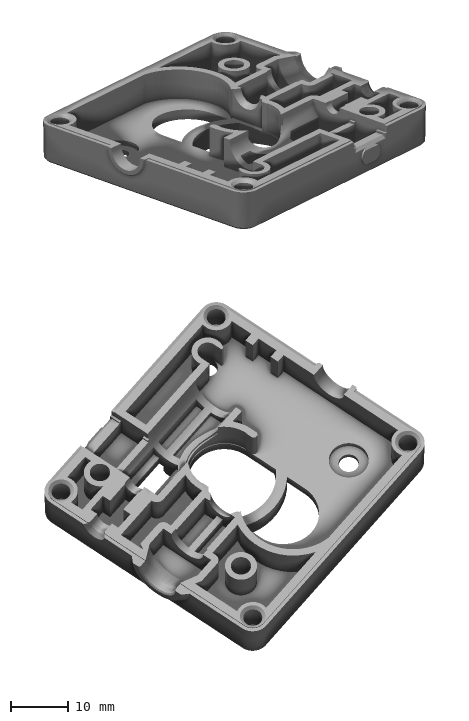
import cadquery as cq
import math

OVERALL_X = 48.3
OVERALL_Y = 52.0
BODY_X = 48.0
BODY_Y = 50.55
BODY_DEPTH = 7.5
CORNER_R = 3.0
DRAFT_ANGLE = 1.0
BOTTOM_CHAMFER = 0.4
SIDE_WALL = 2.15
FLOOR_THICKNESS = 1.85
RIB = 1.3
LIP_WIDTH = 0.6
LIP_DROP = 0.2

FLOOR_Z = FLOOR_THICKNESS - BODY_DEPTH
INNER_X = BODY_X / 2 - SIDE_WALL
INNER_Y = BODY_Y / 2 - SIDE_WALL

MOTOR_X, MOTOR_Y = 2.4, -0.2
PILOT_R = 11.0
PILOT_BORE_R = 9.05
PILOT_HEIGHT = 2.05
PILOT_CHAMFER = 0.5
SLOT_R = 6.3
SLOT_CLEARANCE = 0.1
SLOT_TRAVEL = 12.9
IDLER_X = -12.75
CHAMBER_R = 9.3
CURL_X = 0.6
CURL_R = 0.55
LEAD_IN = 0.75
SHROUD_WALL = 2.1
SHROUD_CORNER_R = 1.8

MOUNT_PITCH = 31.0
MOUNT_HOLE_R = 1.75
MOUNT_BOSS_R = 2.8
MOUNT_BOSS_TOP = -0.25
MOUNT_RECESS_R = 3.5
MOUNT_RECESS_DEPTH = 1.0

SCREW_X, SCREW_Y = 21.05, 22.3
SCREW_BOSS_R = 2.9
SCREW_HOLE_R = 1.65
SCREW_SINK_R = 2.25
SCREW_SINK_DEPTH = 0.45

PASSAGE_X = -3.05
INLET_COLLAR_LENGTH = 1.05
INLET_END = BODY_Y / 2 + INLET_COLLAR_LENGTH
INLET_TIP_R = 5.3
INLET_MOUTH_R = 4.1
INLET_BORE_R = 3.85
INLET_BORE_START = 24.5
INLET_CONE_R = 5.2
NUT_BOX = (17.65, 21.7, 5.25)
NECK_R = 3.5
TUBE_BOX = (8.2, 16.4, 3.3)
TUBE_RIB = 1.25
PASSAGE_FACE = 6.9
OUTLET_R = 2.35
OUTLET_FLARE_R = 2.95
OUTLET_WAIST_Y = 7.9
SPLAY_X, SPLAY_Y = 0.6, 1.15

OUTLET_COLLAR_R = 4.3
OUTLET_COLLAR_END = INLET_END - OVERALL_Y
OUTLET_COLLAR_CHAMFER = 0.25
OUTLET_BORE_R = 3.3

TROUGH_X = 11.55
TROUGH_R = 4.45
TROUGH_START, TROUGH_END = -9.7, 12.9
TROUGH_BLOCK_LEFT = 5.8
TROUGH_END_WALL = 1.45
TROUGH_WALL_END = TROUGH_END + TROUGH_END_WALL
TROUGH_CORNER_R = 1.45
SADDLE_R = 6.75
SADDLE_DROP = 0.45
POCKET_CLEAR_R = 8.1
TROUGH_POCKET_Y = (-8.25, 2.65)
TROUGH_POCKET_HALF = 3.15
TROUGH_RIB_X = (11.55, 12.9)
WINDOW_BAY_START = 4.0
WINDOW_X = (9.75, 13.45)

BAY_SHELF_Z = -1.9
BAY_SHELF_X = 15.6
BAY_POCKET_X = (16.8, 21.85)
BAY_STEP = 0.4
BAY_STEP_HEIGHT = 0.4
BAY_EDGE_X = 23.4
ARM_X = (16.0, 17.4)
ARM_END_R = 0.6
BUTTON_Y = (6.05, 10.75)
BUTTON_Z = (-5.5, -2.45)
BUTTON_HEIGHT = OVERALL_X - BODY_X

CROSS_BLOCK_X = (7.3, 15.75)
CROSS_BOX = (8.55, 14.6, 18.8, 22.25)
CROSS_STEM_X = (10.1, 13.0)
SHAFT_R = 1.6
SHAFT_SINK_R = 2.3
SHAFT_SINK_DEPTH = 1.0

TABS_X = ((6.85, 8.5), (12.4, 14.0))
TAB_LENGTH = 1.65

EXTRA = 0.5


def box(x0, x1, y0, y1, z0=FLOOR_Z, z1=0.0):
    """Axis aligned block between two opposite corners."""
    return cq.Workplane("XY").box(x1 - x0, y1 - y0, z1 - z0, centered=False).translate((x0, y0, z0))


def post(x, y, radius, z0=FLOOR_Z, z1=0.0):
    """Upright cylinder."""
    return cq.Workplane("XY", origin=(x, y, z0)).circle(radius).extrude(z1 - z0)


def countersink(x, y, r_low, r_top, z0, z1):
    """Upright cone frustum."""
    return cq.Workplane(cq.Solid.makeCone(r_low, r_top, z1 - z0, cq.Vector(x, y, z0)))


def lying_cone(x, y0, y1, r0, r1):
    """Cone frustum, or cylinder for equal radii, along Y with its axis in the rim plane."""
    if r0 == r1:
        solid = cq.Solid.makeCylinder(r0, y1 - y0, cq.Vector(x, y0, 0), cq.Vector(0, 1, 0))
    else:
        solid = cq.Solid.makeCone(r0, r1, y1 - y0, cq.Vector(x, y0, 0), cq.Vector(0, 1, 0))
    return cq.Workplane(solid)


def lower_half(shape, top=0.0):
    """Keep what lies below the given height."""
    reach = BODY_Y
    return shape.intersect(box(-reach, reach, -reach, reach, -reach, top))


def rounded_block(length_x, length_y, radius, z0, z1):
    """Centred block with rounded upright edges."""
    block = cq.Workplane("XY", origin=(0, 0, z0)).rect(length_x, length_y).extrude(z1 - z0)
    return block.edges("|Z").fillet(radius)


def slot_prism(radius, z0, z1):
    """Stadium from the motor axis towards -X."""
    plan = cq.Workplane("XY", origin=(MOTOR_X - SLOT_TRAVEL / 2, MOTOR_Y, z0))
    return plan.slot2D(SLOT_TRAVEL + 2 * radius, 2 * radius).extrude(z1 - z0)


def make_tray():
    """Drafted outer body, hollowed from above, with the stepped rim."""
    shrink = BODY_DEPTH * math.tan(math.radians(DRAFT_ANGLE))
    foot = cq.Workplane("XY", origin=(0, 0, -BODY_DEPTH)).sketch()
    foot = foot.rect(BODY_X - 2 * shrink, BODY_Y - 2 * shrink).vertices().fillet(CORNER_R - shrink).finalize()
    tray = foot.extrude(BODY_DEPTH, taper=-DRAFT_ANGLE)
    tray = tray.faces("<Z").edges().chamfer(BOTTOM_CHAMFER)
    rim = rounded_block(BODY_X + EXTRA, BODY_Y + EXTRA, CORNER_R, -LIP_DROP, EXTRA)
    rim = rim.cut(rounded_block(BODY_X - 2 * LIP_WIDTH, BODY_Y - 2 * LIP_WIDTH, CORNER_R - LIP_WIDTH,
                                -LIP_DROP, EXTRA))
    tray = tray.cut(rim)
    return tray.cut(box(-INNER_X, INNER_X, -INNER_Y, INNER_Y, FLOOR_Z, EXTRA))


def make_collars():
    """Half round collars where the passage leaves the body."""
    body_end = BODY_Y / 2
    inlet_flare = INLET_TIP_R + INLET_END - INNER_Y
    inlet = lower_half(lying_cone(PASSAGE_X, INNER_Y, INLET_END, inlet_flare, INLET_TIP_R), -LIP_DROP)
    inlet = inlet.intersect(box(-BODY_X, BODY_X, body_end - LIP_WIDTH, INLET_END, -BODY_DEPTH, 0))
    chamfer_start = OUTLET_COLLAR_END + OUTLET_COLLAR_CHAMFER
    tip_r = OUTLET_COLLAR_R - OUTLET_COLLAR_CHAMFER
    outlet = lying_cone(PASSAGE_X, chamfer_start, -INNER_Y, OUTLET_COLLAR_R, OUTLET_COLLAR_R)
    outlet = outlet.union(lying_cone(PASSAGE_X, OUTLET_COLLAR_END, chamfer_start, tip_r, OUTLET_COLLAR_R))
    return inlet.union(lower_half(outlet))


def make_passage_walls():
    """Block around the passage, wide at the nut box, with the splayed inlet end."""
    nut_start, _, nut_half = NUT_BOX
    _, tube_end, tube_half = TUBE_BOX
    wide = nut_half + RIB
    head = box(PASSAGE_X - wide, PASSAGE_X + wide, nut_start - RIB, INNER_Y)
    head = head.edges("|Z and <Y").fillet(RIB)
    head = head.edges("|Z and >Y").chamfer(SPLAY_Y, SPLAY_X)
    narrow = tube_half + RIB
    return head.union(box(PASSAGE_X - narrow, PASSAGE_X + narrow, PASSAGE_FACE, tube_end + RIB))


def make_chamber_walls():
    """Curved walls around the left chamber and the right end of the slot."""
    passage_left = PASSAGE_X - TUBE_BOX[-1]
    left = post(IDLER_X, MOTOR_Y, CHAMBER_R + RIB)
    left = left.intersect(box(-INNER_X, passage_left, MOTOR_Y, INNER_Y))
    right = post(MOTOR_X, MOTOR_Y, SLOT_R + RIB).intersect(box(MOTOR_X, BODY_X, -BODY_Y, BODY_Y))
    slot_top = MOTOR_Y + SLOT_R
    slot_bottom = MOTOR_Y - SLOT_R
    bevel_x = MOTOR_X - RIB
    upper = cq.Workplane("XY", origin=(0, 0, FLOOR_Z)).polyline([
        (MOTOR_X, slot_top), (bevel_x, slot_top), (bevel_x - LEAD_IN, PASSAGE_FACE),
        (bevel_x - LEAD_IN, slot_top + RIB), (MOTOR_X, slot_top + RIB)]).close().extrude(-FLOOR_Z)
    curl = box(CURL_X, MOTOR_X, slot_bottom - RIB, slot_bottom).edges("|Z and <X").fillet(CURL_R)
    return left.union(right).union(upper).union(curl)


def make_trough_walls():
    """Blocks carrying the trough, the cross slot and the right hand cells."""
    base = box(TROUGH_BLOCK_LEFT, ARM_X[1], TROUGH_START, TROUGH_WALL_END)
    base = base.edges("|Z and <X and >Y").fillet(TROUGH_CORNER_R)
    walls = base.union(box(*CROSS_BLOCK_X, TROUGH_END, INNER_Y))
    walls = walls.union(box(ARM_X[0], INNER_X, TROUGH_END, TROUGH_WALL_END))
    walls = walls.union(box(ARM_X[0], INNER_X, WINDOW_BAY_START - RIB, WINDOW_BAY_START))
    arm_end = MOTOR_Y - MOUNT_PITCH / 2 + MOUNT_HOLE_R
    arm = box(*ARM_X, arm_end, TROUGH_START).edges("|Z and <X and <Y").fillet(ARM_END_R)
    return walls.union(arm)


def make_bosses():
    """Screw bosses in the corners, mounting posts, and the stop tabs."""
    half = MOUNT_PITCH / 2
    rim_step = rounded_block(BODY_X - 2 * LIP_WIDTH, BODY_Y - 2 * LIP_WIDTH, CORNER_R - LIP_WIDTH, FLOOR_Z, 0)
    bosses = post(MOTOR_X - half, MOTOR_Y + half, MOUNT_BOSS_R, z1=MOUNT_BOSS_TOP)
    bosses = bosses.union(post(MOTOR_X + half, MOTOR_Y + half, MOUNT_BOSS_R))
    hook = post(MOTOR_X + half, MOTOR_Y - half, MOUNT_BOSS_R)
    hook = hook.intersect(box(MOTOR_X + half - MOUNT_HOLE_R, BODY_X, -BODY_Y, 0))
    hook = hook.cut(box(0, MOTOR_X + half, MOTOR_Y - half - MOUNT_HOLE_R, MOTOR_Y - half + MOUNT_HOLE_R))
    bosses = bosses.union(hook)
    for side_x in (-1, 1):
        for side_y in (-1, 1):
            boss = post(side_x * SCREW_X, side_y * SCREW_Y, SCREW_BOSS_R)
            bosses = bosses.union(boss.intersect(rim_step))
    for tab_left, tab_right in TABS_X:
        bosses = bosses.union(box(tab_left, tab_right, -INNER_Y, TAB_LENGTH - INNER_Y))
    return bosses


def cut_passage(part):
    """Stepped bores and boxes along the passage, then the rib in the tube box."""
    nut_start, nut_end, nut_half = NUT_BOX
    tube_start, tube_end, tube_half = TUBE_BOX
    mouth_start = INLET_END - (INLET_MOUTH_R - INLET_BORE_R)
    bores = (
        (mouth_start, INLET_END, INLET_BORE_R, INLET_MOUTH_R),
        (INLET_BORE_START, mouth_start, INLET_BORE_R, INLET_BORE_R),
        (nut_end, INLET_BORE_START, INLET_CONE_R, INLET_BORE_R),
        (tube_end, nut_start, NECK_R, NECK_R),
        (OUTLET_WAIST_Y, tube_start, OUTLET_R, OUTLET_R),
        (PASSAGE_FACE, OUTLET_WAIST_Y, OUTLET_FLARE_R, OUTLET_R),
        (OUTLET_COLLAR_END, -INNER_Y, OUTLET_BORE_R, OUTLET_BORE_R),
    )
    for y0, y1, r0, r1 in bores:
        part = part.cut(lying_cone(PASSAGE_X, y0, y1, r0, r1))
    part = part.cut(box(PASSAGE_X - nut_half, PASSAGE_X + nut_half, nut_start, nut_end))
    part = part.cut(box(PASSAGE_X - tube_half, PASSAGE_X + tube_half, tube_start, tube_end))
    return part.union(box(PASSAGE_X - TUBE_RIB / 2, PASSAGE_X + TUBE_RIB / 2, tube_start, tube_end,
                          FLOOR_Z, -NECK_R))


def cut_trough(part):
    """Bearing trough with its floor pockets and the window through the floor."""
    part = part.cut(lying_cone(TROUGH_X, TROUGH_START, TROUGH_END, TROUGH_R, TROUGH_R))
    left, right = TROUGH_X - TROUGH_POCKET_HALF, TROUGH_X + TROUGH_POCKET_HALF
    pockets = box(left, right, *TROUGH_POCKET_Y).cut(box(*TROUGH_RIB_X, *TROUGH_POCKET_Y))
    pockets = pockets.union(box(left, right, WINDOW_BAY_START, TROUGH_END))
    part = part.cut(pockets.cut(post(MOTOR_X, MOTOR_Y, POCKET_CLEAR_R)))
    saddle = lying_cone(TROUGH_X, TROUGH_START, TROUGH_END, TROUGH_R + SADDLE_DROP, TROUGH_R + SADDLE_DROP)
    saddle = saddle.intersect(post(MOTOR_X, MOTOR_Y, SADDLE_R))
    return part.cut(saddle.intersect(box(TROUGH_X - TROUGH_R, TROUGH_X, TROUGH_START, TROUGH_END)))


def cut_spring_bay(part):
    """Shelf open to the right side, its deep pocket, two raised ends and bevelled outer edge."""
    shelf_start = WINDOW_BAY_START + BAY_STEP
    shelf_end = TROUGH_END - BAY_STEP
    step_z = BAY_SHELF_Z + BAY_STEP_HEIGHT
    part = part.cut(box(BAY_SHELF_X, BODY_X, WINDOW_BAY_START, TROUGH_END, step_z, EXTRA))
    part = part.cut(box(BAY_SHELF_X - EXTRA, BODY_X, shelf_start, shelf_end, BAY_SHELF_Z, EXTRA))
    part = part.cut(box(*BAY_POCKET_X, WINDOW_BAY_START, TROUGH_END))
    bevel_end = BODY_X / 2 + EXTRA
    bevel_drop = BAY_SHELF_Z - (bevel_end - BAY_EDGE_X)
    bevel = cq.Workplane("XZ", origin=(0, shelf_end, 0)).polyline([
        (BAY_EDGE_X, BAY_SHELF_Z), (bevel_end, BAY_SHELF_Z), (bevel_end, bevel_drop)]).close()
    return part.cut(bevel.extrude(shelf_end - shelf_start))


def cut_cross_slot(part):
    """Cross shaped pocket with the shaft bore running through to the rear side."""
    box_start, box_end = CROSS_BOX[2:]
    part = part.cut(box(*CROSS_BOX)).cut(box(*CROSS_STEM_X, TROUGH_WALL_END, box_start + EXTRA))
    sink_start = BODY_Y / 2 - SHAFT_SINK_DEPTH
    part = part.cut(lying_cone(TROUGH_X, TROUGH_END, TROUGH_WALL_END, SHAFT_R, SHAFT_R))
    part = part.cut(lying_cone(TROUGH_X, box_end, sink_start, SHAFT_R, SHAFT_R))
    return part.cut(lying_cone(TROUGH_X, sink_start, BODY_Y / 2, SHAFT_R, SHAFT_SINK_R))


def cut_holes(part):
    """Corner screw holes and mounting holes."""
    half = MOUNT_PITCH / 2
    for side_x in (-1, 1):
        for side_y in (-1, 1):
            x, y = side_x * SCREW_X, side_y * SCREW_Y
            part = part.cut(post(x, y, SCREW_HOLE_R))
            part = part.cut(countersink(x, y, SCREW_HOLE_R, SCREW_SINK_R, -SCREW_SINK_DEPTH, 0))
            part = part.cut(post(MOTOR_X + side_x * half, MOTOR_Y + side_y * half, MOUNT_HOLE_R, -BODY_DEPTH))
    return part.cut(post(MOTOR_X - half, MOTOR_Y - half, MOUNT_RECESS_R, FLOOR_Z - MOUNT_RECESS_DEPTH))


def add_pilot(part):
    """Slot through the floor, crossed by the ring of the pilot boss."""
    boss_bottom = -BODY_DEPTH - PILOT_HEIGHT
    part = part.cut(slot_prism(SLOT_R, -BODY_DEPTH, 0))
    part = part.cut(post(MOTOR_X, MOTOR_Y, SLOT_R + SLOT_CLEARANCE).intersect(
        box(MOTOR_X, BODY_X, -BODY_Y, BODY_Y)))
    boss = post(MOTOR_X, MOTOR_Y, PILOT_R, boss_bottom, -BODY_DEPTH)
    boss = boss.faces("<Z").edges().chamfer(PILOT_CHAMFER)
    bridge = post(MOTOR_X, MOTOR_Y, PILOT_R, -BODY_DEPTH, FLOOR_Z)
    bridge = bridge.intersect(slot_prism(SLOT_R, -BODY_DEPTH, FLOOR_Z))
    bridge = bridge.intersect(box(-BODY_X, MOTOR_X - SLOT_R, -BODY_Y, BODY_Y, -BODY_DEPTH))
    window = box(*WINDOW_X, WINDOW_BAY_START, TROUGH_END, boss_bottom)
    ring = boss.union(bridge).cut(post(MOTOR_X, MOTOR_Y, PILOT_BORE_R, boss_bottom))
    shroud = box(WINDOW_X[0] - SHROUD_WALL, MOTOR_X + PILOT_R, WINDOW_BAY_START - RIB, BODY_Y, boss_bottom)
    shroud = shroud.edges("|Z and <X and <Y").fillet(SHROUD_CORNER_R)
    shroud = shroud.intersect(post(MOTOR_X, MOTOR_Y, PILOT_BORE_R + EXTRA, boss_bottom, -BODY_DEPTH))
    ring = ring.union(shroud.cut(post(MOTOR_X, MOTOR_Y, SLOT_R, boss_bottom)))
    return part.union(ring).cut(window)


def make_button():
    """Low oval button on the right side."""
    width = BUTTON_Y[1] - BUTTON_Y[0]
    height = BUTTON_Z[1] - BUTTON_Z[0]
    base_x = BODY_X / 2 - EXTRA
    plan = cq.Workplane("YZ", origin=(base_x, sum(BUTTON_Y) / 2, sum(BUTTON_Z) / 2))
    return plan.slot2D(width, height).extrude(EXTRA + BUTTON_HEIGHT)


chamber = post(IDLER_X, MOTOR_Y, CHAMBER_R).intersect(box(-INNER_X, PASSAGE_X, MOTOR_Y, INNER_Y))
walls = make_passage_walls().union(make_chamber_walls()).cut(chamber)
walls = walls.union(make_trough_walls()).union(make_bosses())
result = make_tray().union(make_collars()).union(walls).union(make_button())
result = cut_passage(result)
result = cut_trough(result)
result = cut_spring_bay(result)
result = cut_cross_slot(result)
result = add_pilot(result)
result = cut_holes(result)